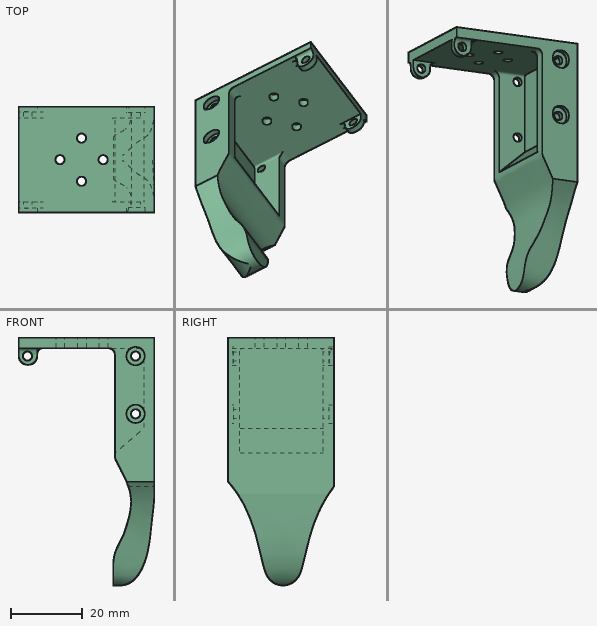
import cadquery as cq

length = 37.75
width = 29.5
height = 68.9

plate_thickness = 2.95
column_depth = 11.0
column_front = length - column_depth
corner_radius = 1.7
wall_thickness = 3.1
pocket_width = width - 2 * wall_thickness
pocket_back = 34.7
pocket_back_bottom = -25.15
pocket_front_bottom = -31.95
pocket_corner_radius = 0.6

hole_diameter = 2.5
top_pattern_x = 17.5
top_pattern_radius = 6.0
side_hole_x = 32.5
side_hole_heights = (-5.1, -21.15)
counterbore_diameter = 5.1
counterbore_depth = 1.5

lug_radius = 2.6
lug_center_z = -4.95
lug_thickness = 1.7
lug_blend_radius = 1.45
lug_side_blend_height = 1.9
lug_hole_x = 2.5
lug_hole_z = -5.1

handle_tip_x = 26.25
handle_pad_top = -63.65
handle_back_start = -43.4
shoulder_left = -41.3
shoulder_right = -39.95
tip_y = 0.55

handle_back_curve = [(37.1, -50.3), (35.7, -60.4), (32.2, -67.1), (28.0, -height)]
handle_front_curve = [
    (26.85, -59.5), (29.3, -54.4), (30.65, -49.85), (31.3, -45.45),
    (29.9, -39.75), (28.3, -36.6), (27.15, -34.2), (column_front, pocket_front_bottom),
]
handle_left_edge = [(10.75, -47.85), (8.1, -54.9), (5.9, -63.7), (5.1, -66.0), (2.9, -68.25)]
handle_right_edge = [
    (-1.8, -68.25), (-4.0, -66.0), (-4.8, -63.7), (-7.1, -54.6), (-10.3, -46.35),
    (-width / 2, shoulder_right),
]


def side_profile():
    """Plate, column and curved handle as one outline, extruded across the full width."""
    return (
        cq.Workplane("XZ", origin=(0, width / 2, 0))
        .moveTo(0, 0)
        .lineTo(length, 0)
        .lineTo(length, handle_back_start)
        .spline(
            handle_back_curve,
            tangents=[(0, -1), (-1, 0)],
            includeCurrent=True,
        )
        .lineTo(handle_tip_x, -height)
        .lineTo(handle_tip_x, handle_pad_top)
        .spline(
            handle_front_curve,
            tangents=[(0, 1), (0, 1)],
            includeCurrent=True,
        )
        .lineTo(column_front, -plate_thickness - corner_radius)
        .radiusArc((column_front - corner_radius, -plate_thickness), -corner_radius)
        .lineTo(0, -plate_thickness)
        .close()
        .extrude(width)
    )


def width_outline():
    """Face-on outline: straight sides that narrow to a rounded, slightly offset tip."""
    return (
        cq.Workplane("YZ")
        .moveTo(-width / 2, 0)
        .lineTo(width / 2, 0)
        .lineTo(width / 2, shoulder_left)
        .spline(handle_left_edge + [(tip_y, -height)] + handle_right_edge, includeCurrent=True)
        .close()
        .extrude(length)
    )


def pocket():
    """Pocket open toward -X, with a floor that slopes down to the opening."""
    return (
        cq.Workplane("XZ", origin=(0, pocket_width / 2, 0))
        .moveTo(column_front - corner_radius, -plate_thickness)
        .lineTo(pocket_back, -plate_thickness)
        .lineTo(pocket_back, pocket_back_bottom)
        .lineTo(column_front, pocket_front_bottom)
        .lineTo(column_front - corner_radius, pocket_front_bottom)
        .close()
        .extrude(pocket_width)
        .edges("|X and >Z")
        .fillet(pocket_corner_radius)
    )


def cylinder_along_y(x, z, diameter, y_start, y_end):
    return (
        cq.Workplane("XZ", origin=(x, y_start, z))
        .circle(diameter / 2)
        .extrude(y_start - y_end)
    )


def lug():
    """Rounded lug on the -Y side, blended into the plate on its inboard-X and outer-Y sides."""
    outer_y = -pocket_width / 2 - lug_thickness
    inner_y = -pocket_width / 2
    body = (
        cq.Workplane("XZ", origin=(0, inner_y, 0))
        .moveTo(0, -plate_thickness)
        .lineTo(0, lug_center_z)
        .threePointArc((lug_radius, lug_center_z - lug_radius), (2 * lug_radius, lug_center_z))
        .lineTo(2 * lug_radius, -plate_thickness - lug_blend_radius)
        .radiusArc((2 * lug_radius + lug_blend_radius, -plate_thickness), lug_blend_radius)
        .close()
        .extrude(lug_thickness)
    )
    edge_y = -width / 2
    blend_bottom = -plate_thickness - lug_side_blend_height
    blend = (
        cq.Workplane("YZ")
        .moveTo(outer_y, -plate_thickness)
        .lineTo(outer_y, blend_bottom)
        .spline([(edge_y, -plate_thickness)], tangents=[(0, 1), (-1, 0)], includeCurrent=True)
        .close()
        .extrude(2 * lug_radius)
    )
    return body.union(blend)


def side_holes():
    """Through holes counterbored from both side faces."""
    holes = cq.Workplane()
    half = width / 2
    for z in side_hole_heights:
        holes = holes.add(cylinder_along_y(side_hole_x, z, hole_diameter, -half, half))
        for side in (-1, 1):
            face = side * half
            seat = side * (half - counterbore_depth)
            holes = holes.add(cylinder_along_y(side_hole_x, z, counterbore_diameter, face, seat))
    return holes.combine()


def top_holes():
    return (
        cq.Workplane(origin=(top_pattern_x, 0, 0))
        .polarArray(top_pattern_radius, 0, 360, 4)
        .circle(hole_diameter / 2)
        .extrude(-plate_thickness)
    )


near_lug = lug()
far_lug = near_lug.mirror("XZ")
lug_holes = cylinder_along_y(lug_hole_x, lug_hole_z, hole_diameter, -width / 2, width / 2)

result = (
    side_profile()
    .intersect(width_outline())
    .cut(pocket())
    .union(near_lug)
    .union(far_lug)
    .cut(lug_holes)
    .cut(side_holes())
    .cut(top_holes())
)